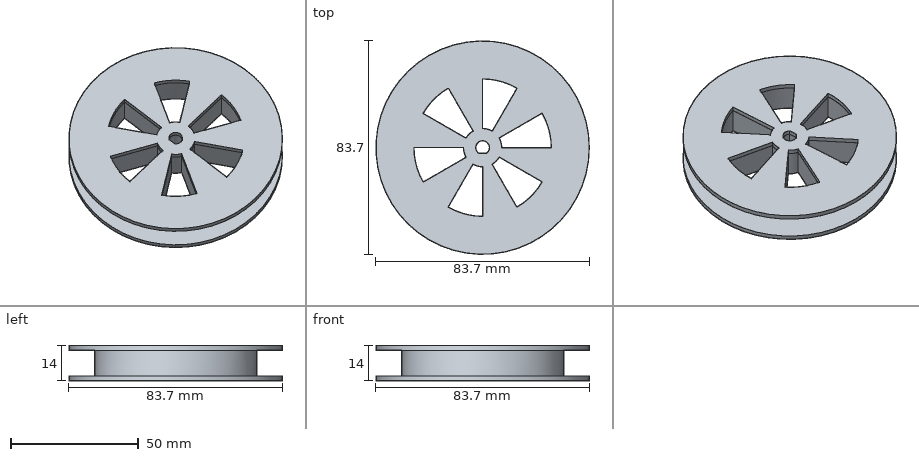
import cadquery as cq
import math

FLANGE_DIAMETER = 83.7
HUB_DIAMETER = 63.7
FLANGE_THICKNESS = 2.0
TOTAL_HEIGHT = 14.0
LID_BOTTOM = TOTAL_HEIGHT - FLANGE_THICKNESS

BORE_DIAMETER = 5.3
BORE_FLAT_DISTANCE = 2.2

WINDOW_COUNT = 6
WINDOW_INNER_RADIUS = 7.5
WINDOW_OUTER_RADIUS = 26.85
WINDOW_PITCH = 360 / WINDOW_COUNT
WINDOW_ANGLE = WINDOW_PITCH / 2


def polar_point(radius, angle):
    """Point at a radius and an angle in degrees from +X."""
    return (radius * math.cos(math.radians(angle)), radius * math.sin(math.radians(angle)))


def disc(diameter, bottom, top):
    """Plain upright cylinder between two heights."""
    return cq.Workplane("XY").workplane(offset=bottom).circle(diameter / 2).extrude(top - bottom)


def shaft_bore():
    """Full-height cutter for the D-shaped bore."""
    bore_radius = BORE_DIAMETER / 2
    half_flat = math.sqrt(bore_radius**2 - BORE_FLAT_DISTANCE**2)
    return (
        cq.Workplane("XY")
        .moveTo(-half_flat, -BORE_FLAT_DISTANCE)
        .threePointArc((0, bore_radius), (half_flat, -BORE_FLAT_DISTANCE))
        .close()
        .extrude(TOTAL_HEIGHT)
    )


def window(start_angle):
    """Full-height cutter for one window, a ring sector opening from its start angle."""
    middle_angle = start_angle + WINDOW_ANGLE / 2
    end_angle = start_angle + WINDOW_ANGLE
    return (
        cq.Workplane("XY")
        .moveTo(*polar_point(WINDOW_INNER_RADIUS, start_angle))
        .lineTo(*polar_point(WINDOW_OUTER_RADIUS, start_angle))
        .threePointArc(
            polar_point(WINDOW_OUTER_RADIUS, middle_angle),
            polar_point(WINDOW_OUTER_RADIUS, end_angle),
        )
        .lineTo(*polar_point(WINDOW_INNER_RADIUS, end_angle))
        .threePointArc(
            polar_point(WINDOW_INNER_RADIUS, middle_angle),
            polar_point(WINDOW_INNER_RADIUS, start_angle),
        )
        .close()
        .extrude(TOTAL_HEIGHT)
    )


def cut_openings(body):
    """Cut the bore and all the windows through a body."""
    body = body.cut(shaft_bore())
    for index in range(WINDOW_COUNT):
        body = body.cut(window(index * WINDOW_PITCH))
    return body


def make_spool():
    """Lower flange with the hub standing on it."""
    lower_flange = disc(FLANGE_DIAMETER, 0, FLANGE_THICKNESS)
    hub = disc(HUB_DIAMETER, FLANGE_THICKNESS, LID_BOTTOM)
    return cut_openings(lower_flange.union(hub))


def make_lid():
    """Upper flange, a separate disc resting on the hub."""
    return cut_openings(disc(FLANGE_DIAMETER, LID_BOTTOM, TOTAL_HEIGHT))


spool = make_spool()
lid = make_lid()

result = cq.Compound.makeCompound([spool.val(), lid.val()])